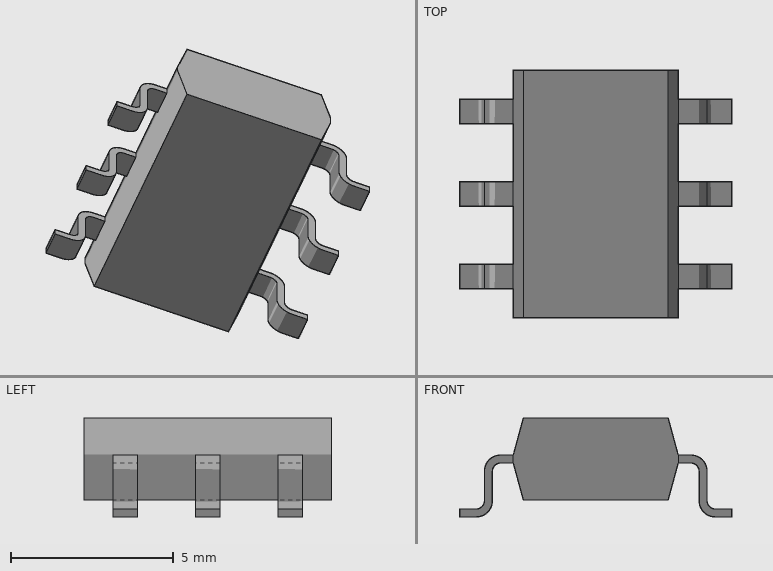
import cadquery as cq

SPAN = 8.38

HOUSING_WIDTH = 5.08
HOUSING_LENGTH = 7.62
HOUSING_HEIGHT = 2.53
SIDE_TAPER = 0.31

LEAD_THICKNESS = 0.25
LEAD_WIDTH = 0.76
LEADS_PER_SIDE = 3
LEAD_PITCH = HOUSING_LENGTH / LEADS_PER_SIDE
FOOT_LENGTH = 0.51
INNER_BEND = 0.25
OUTER_BEND = INNER_BEND + LEAD_THICKNESS
STANDOFF = 0.52

HOUSING_TOP = STANDOFF + HOUSING_HEIGHT
HOUSING_MID = STANDOFF + HOUSING_HEIGHT / 2
LEAD_TOP = HOUSING_MID + LEAD_THICKNESS / 2
LEAD_UNDERSIDE = LEAD_TOP - LEAD_THICKNESS
HOUSING_SIDE = HOUSING_WIDTH / 2
FOOT_TIP = SPAN / 2
FOOT_BEND_START = FOOT_TIP - FOOT_LENGTH
SHANK_OUTSIDE = FOOT_BEND_START - INNER_BEND
SHOULDER_BEND_START = SHANK_OUTSIDE - OUTER_BEND


def make_housing():
    """Block whose two long sides taper away from an upright band as tall as a lead is thick."""
    face_edge = HOUSING_SIDE - SIDE_TAPER
    profile = [
        (-face_edge, STANDOFF),
        (face_edge, STANDOFF),
        (HOUSING_SIDE, LEAD_UNDERSIDE),
        (HOUSING_SIDE, LEAD_TOP),
        (face_edge, HOUSING_TOP),
        (-face_edge, HOUSING_TOP),
        (-HOUSING_SIDE, LEAD_TOP),
        (-HOUSING_SIDE, LEAD_UNDERSIDE),
    ]
    return cq.Workplane("XZ").polyline(profile).close().extrude(HOUSING_LENGTH / 2, both=True)


def make_lead():
    """Gull-wing lead on the +X side, centred on Y = 0, butting against the housing band."""
    shank_inside = SHANK_OUTSIDE - LEAD_THICKNESS
    return (
        cq.Workplane("XZ")
        .moveTo(HOUSING_SIDE, LEAD_TOP)
        .lineTo(SHOULDER_BEND_START, LEAD_TOP)
        .tangentArcPoint((SHANK_OUTSIDE, LEAD_TOP - OUTER_BEND), relative=False)
        .lineTo(SHANK_OUTSIDE, OUTER_BEND)
        .tangentArcPoint((FOOT_BEND_START, LEAD_THICKNESS), relative=False)
        .lineTo(FOOT_TIP, LEAD_THICKNESS)
        .lineTo(FOOT_TIP, 0)
        .lineTo(FOOT_BEND_START, 0)
        .tangentArcPoint((shank_inside, OUTER_BEND), relative=False)
        .lineTo(shank_inside, LEAD_TOP - OUTER_BEND)
        .tangentArcPoint((SHOULDER_BEND_START, LEAD_UNDERSIDE), relative=False)
        .lineTo(HOUSING_SIDE, LEAD_UNDERSIDE)
        .close()
        .extrude(LEAD_WIDTH / 2, both=True)
    )


def make_leads():
    """Evenly spaced leads along both long sides, each a separate solid."""
    right_lead = make_lead()
    left_lead = right_lead.mirror("YZ")
    leads = []
    for row in range(LEADS_PER_SIDE):
        y = (row - (LEADS_PER_SIDE - 1) / 2) * LEAD_PITCH
        for lead in (right_lead, left_lead):
            leads.append(lead.translate((0, y, 0)).val())
    return leads


housing = make_housing()
leads = make_leads()

result = cq.Compound.makeCompound([housing.val(), *leads])